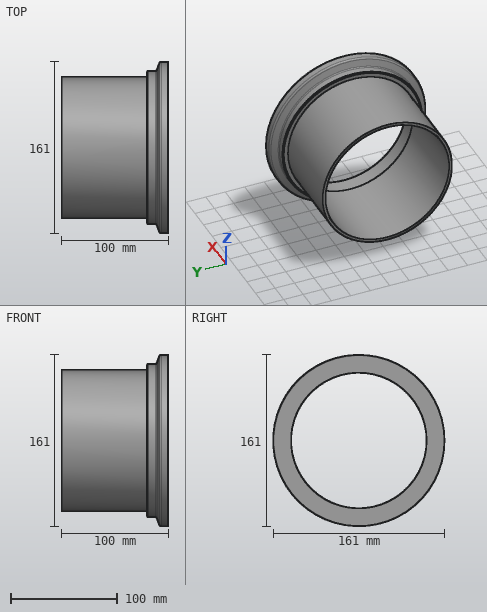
import cadquery as cq
import math

total_length = 100.0
bore_diameter = 127.0
tube_diameter = 133.0

hub_diameter = 144.0
flange_diameter = 161.0
ferrule_length = 20.0
socket_depth = 4.5
rim_width = 8.0
cone_angle = 20.0
rim_back_fillet = 2.0
hub_root_fillet = 1.2
hub_chamfer_length = 0.7
hub_chamfer_height = 1.3
rim_front_fillet = 0.5

bore_radius = bore_diameter / 2
tube_radius = tube_diameter / 2
hub_radius = hub_diameter / 2
flange_radius = flange_diameter / 2
ferrule_start = total_length - ferrule_length
tube_length = ferrule_start + socket_depth
cone_end = total_length - rim_width
cone_start = cone_end - (flange_radius - hub_radius) * math.tan(math.radians(cone_angle))


def along_cone(x, radius, distance):
    """Point (x, radius) moved outward along the cone by the given distance."""
    slope = math.radians(cone_angle)
    return x + distance * math.sin(slope), radius + distance * math.cos(slope)


def cone_tangent_length(fillet):
    """Distance from a cone corner to the ends of its fillet; the corner turns 90 degrees less the slope."""
    return fillet * math.tan(math.radians(90 - cone_angle) / 2)


def make_tube():
    """Plain tube whose end sits in the ferrule's socket."""
    return cq.Workplane("YZ").circle(tube_radius).circle(bore_radius).extrude(tube_length)


def make_ferrule():
    """Hub and coned clamp flange, with a socket for the tube and a bore flush with the tube's bore."""
    root_tangent = cone_tangent_length(hub_root_fillet)
    rim_tangent = cone_tangent_length(rim_back_fillet)
    return (
        cq.Workplane("XY")
        .moveTo(ferrule_start, tube_radius)
        .lineTo(ferrule_start, hub_radius - hub_chamfer_height)
        .lineTo(ferrule_start + hub_chamfer_length, hub_radius)
        .lineTo(cone_start - root_tangent, hub_radius)
        .tangentArcPoint(along_cone(cone_start, hub_radius, root_tangent), relative=False)
        .lineTo(*along_cone(cone_end, flange_radius, -rim_tangent))
        .tangentArcPoint((cone_end + rim_tangent, flange_radius), relative=False)
        .lineTo(total_length - rim_front_fillet, flange_radius)
        .tangentArcPoint((total_length, flange_radius - rim_front_fillet), relative=False)
        .lineTo(total_length, bore_radius)
        .lineTo(tube_length, bore_radius)
        .lineTo(tube_length, tube_radius)
        .close()
        .revolve(360, (0, 0, 0), (1, 0, 0))
    )


tube = make_tube()
ferrule = make_ferrule()
result = cq.Compound.makeCompound([tube.val(), ferrule.val()])